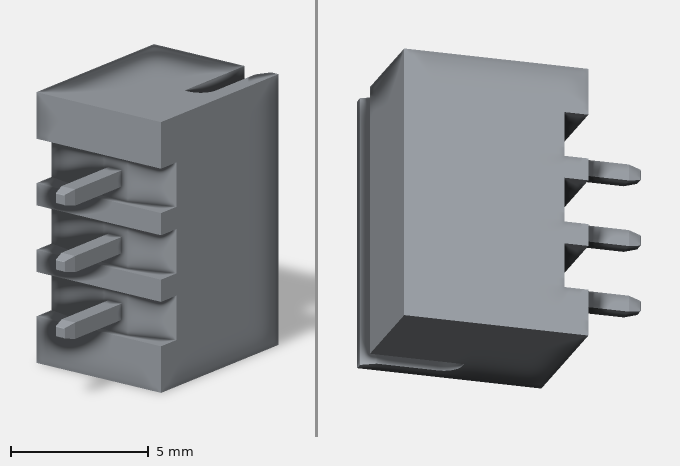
import cadquery as cq

body_width = 5.7
body_length = 7.0
body_height = 10.34

pin_count = 3
pin_pitch = 2.54
pin_x = 3.38
pin_heights = [body_height / 2 + (i - (pin_count - 1) / 2) * pin_pitch for i in range(pin_count)]

pin_size = 0.62
pin_projection = 3.0
tip_length = 0.5
tip_size = 0.39
end_bevel = 0.02

recess_height = 1.7
edge_depth = 0.91
land_depth = 0.3
land_start = 2.83
land_end = 3.94

slot_left = 4.15
slot_right = 5.05
slot_depth = 3.58
slot_corner_radius = 0.7
lead_in_width = 0.31
lead_in_length = 0.54


def make_body():
    return cq.Workplane("XY").box(body_width, body_length, body_height, centered=False)


def make_slot():
    slot_bottom = body_length - slot_depth
    return (
        cq.Workplane("XY")
        .moveTo(slot_left, body_length)
        .lineTo(slot_left, slot_bottom)
        .lineTo(slot_right - slot_corner_radius, slot_bottom)
        .radiusArc((slot_right, slot_bottom + slot_corner_radius), -slot_corner_radius)
        .lineTo(slot_right, body_length - lead_in_length)
        .lineTo(slot_right + lead_in_width, body_length)
        .close()
        .extrude(body_height)
    )


def make_recess(pin_z):
    floor_points = [
        (0, 0),
        (0, edge_depth),
        (land_start, land_depth),
        (land_end, land_depth),
        (body_width, edge_depth),
        (body_width, 0),
    ]
    return (
        cq.Workplane("XY", origin=(0, 0, pin_z - recess_height / 2))
        .polyline(floor_points)
        .close()
        .extrude(recess_height)
    )


def make_pin(pin_z):
    shank = (
        cq.Workplane("XZ", origin=(pin_x, land_depth, pin_z))
        .rect(pin_size, pin_size)
        .extrude(land_depth + pin_projection - tip_length)
    )
    tip = (
        cq.Workplane("XZ", origin=(pin_x, tip_length - pin_projection, pin_z))
        .rect(pin_size, pin_size)
        .workplane(offset=tip_length)
        .rect(tip_size, tip_size)
        .loft(ruled=True)
        .faces("<Y")
        .chamfer(end_bevel)
    )
    return shank.union(tip)


result = make_body().cut(make_slot())
for pin_z in pin_heights:
    result = result.cut(make_recess(pin_z)).union(make_pin(pin_z))